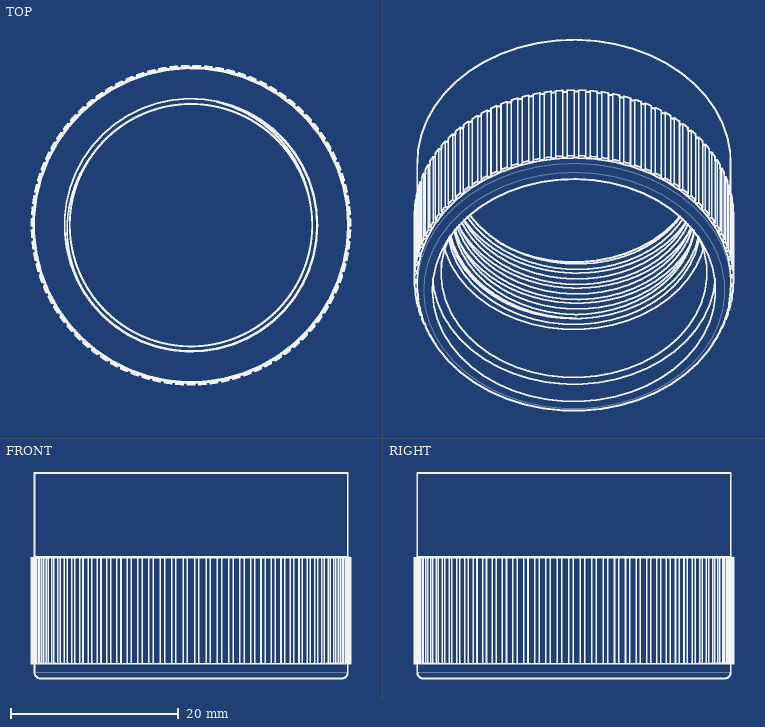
import cadquery as cq

height = 24.57
body_diameter = 37.45
bottom_fillet = 0.75

grip_diameter = 38.1
grip_top = 14.45
corner_bevel = 0.1
grip_bottom = 1.8
groove_count = 87
groove_radius = 0.25

thread_bore_diameter = 30.05
neck_diameter = 30.2
relief_diameter = 31.75
recess_diameter = 33.8
thread_length = 10.9
neck_length = 1.1
recess_depth = 3.3

crest_diameter = 28.95
pitch = 2.9
ridge_width = 1.05
crest_depth_at_x = 0.705
ridge_turns = 5
turns_below_top_crest = 4
ridge_overlap = 0.15

thread_bottom = height - thread_length
neck_bottom = thread_bottom - neck_length


def cylinder(diameter, bottom, top):
    return cq.Workplane("XY").workplane(offset=bottom).circle(diameter / 2).extrude(top - bottom)


def make_body():
    """Solid outer shape: a plain cylinder carrying the grip band and its bevel."""
    body = cylinder(body_diameter, 0, height).faces("<Z").edges().fillet(bottom_fillet)
    return body.union(make_grip()).union(make_corner_bevel())


def make_corner_bevel():
    """Small cone that leads from the grip's top edge up to the plain body."""
    body_radius = body_diameter / 2
    base_center = cq.Vector(0, 0, grip_top)
    cone = cq.Solid.makeCone(body_radius + corner_bevel, body_radius, corner_bevel, pnt=base_center)
    return cq.Workplane("XY").add(cone)


def make_grip():
    """Band with round axial grooves, the first one on the +Y side."""
    grooves = (
        cq.Workplane("XY")
        .workplane(offset=grip_bottom)
        .polarArray(grip_diameter / 2, 90, 360, groove_count)
        .circle(groove_radius)
        .extrude(grip_top - grip_bottom)
    )
    return cylinder(grip_diameter, grip_bottom, grip_top).cut(grooves)


def make_bore():
    """Stepped bore that widens from the threaded end to the bottom recess."""
    return (
        cylinder(thread_bore_diameter, thread_bottom, height)
        .union(cylinder(neck_diameter, neck_bottom, thread_bottom))
        .union(cylinder(relief_diameter, recess_depth, neck_bottom))
        .union(cylinder(recess_diameter, 0, recess_depth))
    )


def make_entry_chamfer():
    """45 degree cone that trims the ridge where it runs out at the top face."""
    top_radius = neck_diameter / 2
    tip = cq.Vector(0, 0, height - top_radius)
    cone = cq.Solid.makeCone(0, top_radius, top_radius, pnt=tip)
    return cq.Workplane("XY").add(cone)


def make_thread_ridge():
    """Helical ridge, cut square at both ends of the threaded stretch."""
    crest_radius = crest_diameter / 2
    root_radius = thread_bore_diameter / 2 + ridge_overlap
    ridge_start = height - crest_depth_at_x - turns_below_top_crest * pitch
    profile = (
        cq.Workplane("XZ")
        .moveTo(crest_radius, 0)
        .lineTo(root_radius, 0)
        .lineTo(root_radius, -ridge_width)
        .lineTo(crest_radius, -ridge_width)
        .close()
    )
    helix = cq.Workplane(cq.Wire.makeHelix(pitch, ridge_turns * pitch, crest_radius))
    ridge = profile.sweep(helix, isFrenet=True).translate((0, 0, ridge_start))
    return ridge.intersect(cylinder(body_diameter, thread_bottom, height))


result = make_body().cut(make_bore()).union(make_thread_ridge()).cut(make_entry_chamfer())